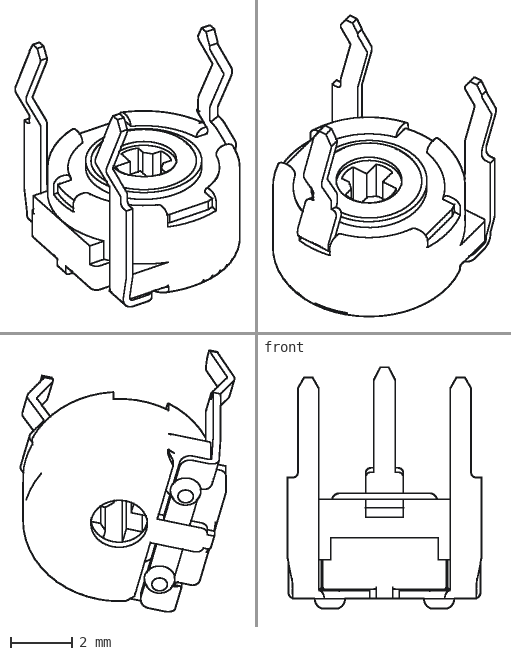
import cadquery as cq
import math


DRUM_RADIUS = 6.3 / 2
DRUM_TOP = 3.255
BOTTOM_ROUND = 0.205
BORE_RADIUS = 3.8 / 2
RIM_INNER_RADIUS = 2.48
RIM_ROUND = 0.285

PLATE_BOTTOM = 2.655
PLATE_THICKNESS = 0.32
PLATE_TOP = PLATE_BOTTOM + PLATE_THICKNESS
PLATE_RADIUS = 2.915
PLATE_FLAT_X = 2.82
FRONT_TAB_RADIUS = 2.995
TAB_WIDTH = 1.23
SIDE_NOTCH_WIDTH = 1.86

BLOCK_BOTTOM = 0.3
BLOCK_BOTTOM_ROUND = 0.07
LOW_BLOCK_TOP = 1.27
FRONT_BLOCK_TOP = 1.98
BLOCK_FRONT = -3.16
FRONT_BLOCK_WIDTH = 3.51
LOW_BLOCK_WIDTH = 4.03
LOW_BLOCK_ROUND = 0.25
BLOCK_EDGE_ROUND = 0.095
SIDE_BLOCK_WIDTH = 6.02
SIDE_BLOCK_FRONT = -2.37
SIDE_BLOCK_BACK = -0.84
BLOCK_DEPTH_START = -2.21

STRIP_THICKNESS = 0.25
STRIP_FRONT = -2.64
STRIP_INNER_X = 2.15
STRIP_OUTER_X = 3.175
STRIP_BEND_INNER = 0.13
PIN_OUTER_X = 2.84
SHOULDER_Z = 3.965
SHOULDER_ROUND = 0.16
SIDE_KINK_START_Z = 4.36
SIDE_KNEE_Y = -3.09
SIDE_KNEE_Z = 5.545
SIDE_KINK_END_Z = 6.81
SIDE_TIP_Z = 7.24
SIDE_TIP_START = 6.88
TIP_WIDTH = 0.28
TAPER_TOP = 1.33
TAPER_BOTTOM = 0.48
KNEE_INNER_ROUND = 0.08
FOOT_CORNER_X = 1.975
FOOT_CORNER_HEIGHT = 0.285
FOOT_OUTER_X = 3.0
FOOT_INNER_X = 0.48
FOOT_BACK = -1.38
FOOT_ROUND = 0.355
POCKET_BACK = -1.17
POCKET_SIDE_BACK = -0.9
CENTRE_FOOT_WIDTH = 0.54
CENTRE_FOOT_NECK = -2.91
CENTRE_FOOT_ROUND = 0.12

RIVET_X = 1.785
RIVET_Y = -1.8
RIVET_STEM_DIAMETER = 0.6
RIVET_HEAD_DIAMETER = 1.0
RIVET_HEAD_HEIGHT = 0.33
RIVET_FLAT_DIAMETER = 0.505

CENTRE_PIN_WIDTH = 0.72
CENTRE_PIN_Y = 2.47
CENTRE_FOOT_Y = 3.18
CENTRE_STRIP_START_Y = 2.37
CENTRE_LEAN_TOP = 4.27
CENTRE_KINK_START_Z = 4.69
CENTRE_KNEE_Y = 3.05
CENTRE_KNEE_Z = 5.84
CENTRE_KINK_END_Z = 7.055
CENTRE_SHOULDER_Z = 4.195
CENTRE_SHOULDER_ROUND = 0.19
CENTRE_TIP_Z = 7.57
CENTRE_TIP_START = 7.14
CENTRE_BEND_INNER = 0.12

COLLAR_TOP = 3.25
RING_TOP = 3.45
RING_OUTER_RADIUS = 1.74
RING_INNER_RADIUS = 1.075
RING_ROUND = 0.285
RING_INNER_EDGE = 3.29
WELL_FLOOR = 3.14
CROSS_WIDTH = 0.65
CROSS_RADIUS = 0.925
ARROW_X = 0.57
ARROW_Y = 0.545

FAR = 4.74


def box(x0, x1, y0, y1, z0, z1):
    """Box between two opposite corners."""
    return cq.Workplane("XY").box(x1 - x0, y1 - y0, z1 - z0, centered=False).translate((x0, y0, z0))


def cylinder(radius, z0, z1):
    return cq.Workplane("XY").workplane(offset=z0).circle(radius).extrude(z1 - z0)


def mirrored_x(body):
    return body.mirror("YZ")


def bent_strip(points, radii, thickness, width):
    """Strip of metal centred on X = 0 whose middle line follows (y, z) points, each corner rounded."""
    path = cq.Workplane("YZ").moveTo(*points[0])
    for before, corner, after, radius in zip(points, points[1:], points[2:], radii):
        incoming = cq.Vector(corner[0] - before[0], corner[1] - before[1], 0).normalized()
        outgoing = cq.Vector(after[0] - corner[0], after[1] - corner[1], 0).normalized()
        tangent = radius * math.tan(incoming.getAngle(outgoing) / 2)
        start = cq.Vector(*corner) - incoming * tangent
        end = cq.Vector(*corner) + outgoing * tangent
        path = path.lineTo(start.x, start.y).tangentArcPoint((end.x, end.y), relative=False)
    path = path.lineTo(*points[-1])
    section = cq.Workplane("XZ", origin=(0, points[0][0], points[0][1])).rect(width, thickness)
    return section.sweep(path)


def make_pin_outline(width, tip_start, tip_top):
    """Straight pin with a tapered tip, extruded through the whole depth."""
    return (
        cq.Workplane("XZ", origin=(0, FAR, 0))
        .polyline([(-width / 2, 0), (-width / 2, tip_start), (-TIP_WIDTH / 2, tip_top),
                   (TIP_WIDTH / 2, tip_top), (width / 2, tip_start), (width / 2, 0)])
        .close()
        .extrude(2 * FAR)
    )


def make_drum():
    """Round body with a floor, a rotor bore and a plate pocket under a rim rounded on both edges."""
    arc_in = 1 - math.sqrt(0.5)
    rim_start = DRUM_TOP - RIM_ROUND
    return (
        cq.Workplane("XZ")
        .moveTo(CROSS_RADIUS, 0)
        .lineTo(DRUM_RADIUS - BOTTOM_ROUND, 0)
        .threePointArc(
            (DRUM_RADIUS - BOTTOM_ROUND * arc_in, BOTTOM_ROUND * arc_in), (DRUM_RADIUS, BOTTOM_ROUND)
        )
        .lineTo(DRUM_RADIUS, rim_start)
        .threePointArc(
            (DRUM_RADIUS - RIM_ROUND * arc_in, DRUM_TOP - RIM_ROUND * arc_in),
            (DRUM_RADIUS - RIM_ROUND, DRUM_TOP),
        )
        .lineTo(RIM_INNER_RADIUS + RIM_ROUND, DRUM_TOP)
        .threePointArc(
            (RIM_INNER_RADIUS + RIM_ROUND * arc_in, DRUM_TOP - RIM_ROUND * arc_in),
            (RIM_INNER_RADIUS, PLATE_TOP),
        )
        .lineTo(PLATE_RADIUS, PLATE_TOP)
        .lineTo(PLATE_RADIUS, PLATE_BOTTOM)
        .lineTo(BORE_RADIUS, PLATE_BOTTOM)
        .lineTo(BORE_RADIUS, BLOCK_BOTTOM)
        .lineTo(CROSS_RADIUS, BLOCK_BOTTOM)
        .close()
        .revolve(360, (0, 0, 0), (0, 1, 0))
    )


def make_blocks():
    """Square front and side blocks that widen the lower part of the drum."""
    front = box(-FRONT_BLOCK_WIDTH / 2, FRONT_BLOCK_WIDTH / 2, BLOCK_FRONT, BLOCK_DEPTH_START,
                BLOCK_BOTTOM, FRONT_BLOCK_TOP)
    low = box(-LOW_BLOCK_WIDTH / 2, LOW_BLOCK_WIDTH / 2, BLOCK_FRONT, BLOCK_DEPTH_START,
              BLOCK_BOTTOM, LOW_BLOCK_TOP)
    low = low.edges("|Z and <Y").fillet(LOW_BLOCK_ROUND)
    side = box(-SIDE_BLOCK_WIDTH / 2, SIDE_BLOCK_WIDTH / 2, SIDE_BLOCK_FRONT, SIDE_BLOCK_BACK,
               BLOCK_BOTTOM, LOW_BLOCK_TOP)
    side = side.edges("|Z and <Y").fillet(BLOCK_EDGE_ROUND)
    blocks = front.union(low).union(side)
    blocks = blocks.faces("<Z").edges().fillet(BLOCK_BOTTOM_ROUND)
    return blocks.cut(cylinder(DRUM_RADIUS - BOTTOM_ROUND, 0, FRONT_BLOCK_TOP))


def make_centre_foot():
    """Foot below the front block, flush with its front face and rounded along its lower edge."""
    half_foot = CENTRE_FOOT_WIDTH / 2
    foot = box(-half_foot, half_foot, BLOCK_FRONT, BLOCK_DEPTH_START, 0, BLOCK_BOTTOM + BLOCK_BOTTOM_ROUND)
    return foot.edges("|X and <Y and <Z").fillet(CENTRE_FOOT_ROUND)


def make_foot_pocket():
    """Clearance under the blocks for a side terminal foot, on the +X side."""
    half_foot = CENTRE_FOOT_WIDTH / 2
    return (
        cq.Workplane("XY")
        .moveTo(half_foot, -FAR)
        .lineTo(half_foot, CENTRE_FOOT_NECK)
        .radiusArc((FOOT_INNER_X, STRIP_FRONT), -STRIP_THICKNESS)
        .lineTo(FOOT_INNER_X, POCKET_BACK)
        .lineTo(FOOT_OUTER_X - FOOT_ROUND, POCKET_BACK)
        .lineTo(FOOT_OUTER_X, POCKET_SIDE_BACK)
        .lineTo(FAR, POCKET_SIDE_BACK)
        .lineTo(FAR, -FAR)
        .close()
        .extrude(BLOCK_BOTTOM)
    )


def make_rivet():
    """Stem and rounded head below one foot, on the +X side."""
    stem = cylinder(RIVET_STEM_DIAMETER / 2, 0, BLOCK_BOTTOM)
    side_run = (RIVET_HEAD_DIAMETER - RIVET_FLAT_DIAMETER) / 2
    side_radius = (side_run**2 + RIVET_HEAD_HEIGHT**2) / (2 * side_run)
    head = (
        cq.Workplane("XZ")
        .lineTo(RIVET_HEAD_DIAMETER / 2, 0)
        .radiusArc((RIVET_FLAT_DIAMETER / 2, -RIVET_HEAD_HEIGHT), side_radius)
        .lineTo(0, -RIVET_HEAD_HEIGHT)
        .close()
        .revolve(360, (0, 0, 0), (0, 1, 0))
    )
    return stem.union(head).translate((RIVET_X, RIVET_Y, 0))


def make_housing():
    body = make_drum().union(make_blocks()).union(make_centre_foot())
    side_notch = box(-FAR, FAR, -SIDE_NOTCH_WIDTH / 2, SIDE_NOTCH_WIDTH / 2, PLATE_BOTTOM, FAR)
    tab_notch = box(-TAB_WIDTH / 2, TAB_WIDTH / 2, -FAR, FAR, PLATE_BOTTOM, FAR)
    body = body.cut(side_notch).cut(tab_notch)
    pocket = make_foot_pocket()
    rivet = make_rivet()
    body = body.cut(pocket).cut(mirrored_x(pocket))
    return body.union(rivet).union(mirrored_x(rivet))


def make_cross():
    """Cross slot with one arm flared into an arrow head."""
    half = CROSS_WIDTH / 2
    arms = box(-half, half, -FAR, FAR, 0, FAR).union(box(-FAR, FAR, -half, half, 0, FAR))
    arrow = (
        cq.Workplane("XY")
        .polyline([(-ARROW_X, half), (-half, ARROW_Y), (half, ARROW_Y), (ARROW_X, half)])
        .close()
        .extrude(FAR)
    )
    return arms.union(arrow).intersect(cylinder(CROSS_RADIUS, 0, FAR))


def make_rotor():
    collar = cylinder(BORE_RADIUS, BLOCK_BOTTOM, COLLAR_TOP)
    inner_drop = RING_TOP - RING_INNER_EDGE
    inner_radius = (RING_ROUND**2 + inner_drop**2) / (2 * inner_drop)
    ring = (
        cq.Workplane("XZ")
        .moveTo(RING_INNER_RADIUS, PLATE_TOP)
        .lineTo(RING_INNER_RADIUS, RING_INNER_EDGE)
        .radiusArc((RING_INNER_RADIUS + RING_ROUND, RING_TOP), inner_radius)
        .lineTo(RING_OUTER_RADIUS - RING_ROUND, RING_TOP)
        .radiusArc((RING_OUTER_RADIUS, RING_TOP - RING_ROUND), RING_ROUND)
        .lineTo(RING_OUTER_RADIUS, PLATE_TOP)
        .close()
        .revolve(360, (0, 0, 0), (0, 1, 0))
    )
    well = cylinder(RING_INNER_RADIUS, WELL_FLOOR, FAR)
    return collar.union(ring).cut(well).cut(make_cross())


def make_plate():
    """Flat plate with straight sides at X and a front tab."""
    disc = cylinder(PLATE_RADIUS, PLATE_BOTTOM, PLATE_TOP)
    disc = disc.intersect(box(-PLATE_FLAT_X, PLATE_FLAT_X, -FAR, FAR, 0, FAR))
    tab = cylinder(FRONT_TAB_RADIUS, PLATE_BOTTOM, PLATE_TOP)
    tab = tab.intersect(box(-TAB_WIDTH / 2, TAB_WIDTH / 2, -FAR, 0, 0, FAR))
    return disc.union(tab).cut(cylinder(BORE_RADIUS, 0, FAR))


def make_centre_terminal():
    knee = KNEE_INNER_ROUND + PLATE_THICKNESS / 2
    foot = CENTRE_BEND_INNER + PLATE_THICKNESS / 2
    foot_z = PLATE_BOTTOM + PLATE_THICKNESS / 2
    points = [(CENTRE_STRIP_START_Y, foot_z), (CENTRE_FOOT_Y, foot_z), (CENTRE_PIN_Y, CENTRE_LEAN_TOP),
              (CENTRE_PIN_Y, CENTRE_KINK_START_Z), (CENTRE_KNEE_Y, CENTRE_KNEE_Z),
              (CENTRE_PIN_Y, CENTRE_KINK_END_Z), (CENTRE_PIN_Y, CENTRE_TIP_Z)]
    lean = math.degrees(math.atan2(CENTRE_FOOT_Y - CENTRE_PIN_Y, CENTRE_LEAN_TOP - foot_z))
    strip = bent_strip(points, [foot, knee, knee, knee, knee], PLATE_THICKNESS, TAB_WIDTH)
    wide = box(-TAB_WIDTH / 2, TAB_WIDTH / 2, -FAR, FAR, -FAR, 0)
    wide = wide.edges("|Y and >Z").fillet(CENTRE_SHOULDER_ROUND)
    wide = wide.rotate((0, 0, 0), (1, 0, 0), lean).translate((0, CENTRE_PIN_Y, CENTRE_SHOULDER_Z))
    pin = make_pin_outline(CENTRE_PIN_WIDTH, CENTRE_TIP_START, CENTRE_TIP_Z)
    return make_plate().union(strip.intersect(wide.union(pin)))


def make_side_outline():
    """Front outline of the upright strip on the +X side."""
    pin_width = PIN_OUTER_X - STRIP_INNER_X
    wide = (
        cq.Workplane("XZ", origin=(0, FAR, 0))
        .moveTo(FOOT_CORNER_X, 0)
        .lineTo(FOOT_OUTER_X, 0)
        .lineTo(FOOT_OUTER_X, TAPER_BOTTOM)
        .lineTo(STRIP_OUTER_X, TAPER_TOP)
        .lineTo(STRIP_OUTER_X, SHOULDER_Z)
        .lineTo(PIN_OUTER_X + SHOULDER_ROUND, SHOULDER_Z)
        .radiusArc((PIN_OUTER_X, SHOULDER_Z + SHOULDER_ROUND), SHOULDER_ROUND)
        .lineTo(STRIP_INNER_X, SHOULDER_Z + SHOULDER_ROUND)
        .lineTo(STRIP_INNER_X, FOOT_CORNER_HEIGHT)
        .radiusArc((FOOT_CORNER_X, 0), -FOOT_CORNER_HEIGHT)
        .close()
        .extrude(2 * FAR)
    )
    pin = make_pin_outline(pin_width, SIDE_TIP_START, SIDE_TIP_Z)
    return wide.union(pin.translate((STRIP_INNER_X + pin_width / 2, 0, 0)))


def make_side_terminal():
    middle_y = STRIP_FRONT + STRIP_THICKNESS / 2
    foot_start = STRIP_FRONT + STRIP_THICKNESS + STRIP_BEND_INNER
    knee = KNEE_INNER_ROUND + STRIP_THICKNESS / 2
    bend = STRIP_BEND_INNER + STRIP_THICKNESS / 2
    points = [(foot_start + STRIP_THICKNESS, STRIP_THICKNESS / 2), (middle_y, STRIP_THICKNESS / 2),
              (middle_y, SIDE_KINK_START_Z), (SIDE_KNEE_Y, SIDE_KNEE_Z), (middle_y, SIDE_KINK_END_Z),
              (middle_y, SIDE_TIP_Z)]
    strip = bent_strip(points, [bend, knee, knee, knee], STRIP_THICKNESS, 2 * STRIP_OUTER_X)
    foot = box(FOOT_INNER_X, FOOT_OUTER_X, foot_start, FOOT_BACK, 0, STRIP_THICKNESS)
    foot = foot.edges("|Z").edges(">Y").edges(">X").fillet(FOOT_ROUND)
    body = strip.intersect(make_side_outline()).union(foot)
    rivet_hole = cylinder(RIVET_STEM_DIAMETER / 2, 0, FAR / 2).translate((RIVET_X, RIVET_Y, 0))
    return body.cut(rivet_hole)


housing = make_housing()
rotor = make_rotor()
centre_terminal = make_centre_terminal()
side_terminal = make_side_terminal()
side_terminals = [side_terminal, mirrored_x(side_terminal)]

result = cq.Compound.makeCompound(
    [housing.val(), rotor.val(), centre_terminal.val()] + [body.val() for body in side_terminals]
)